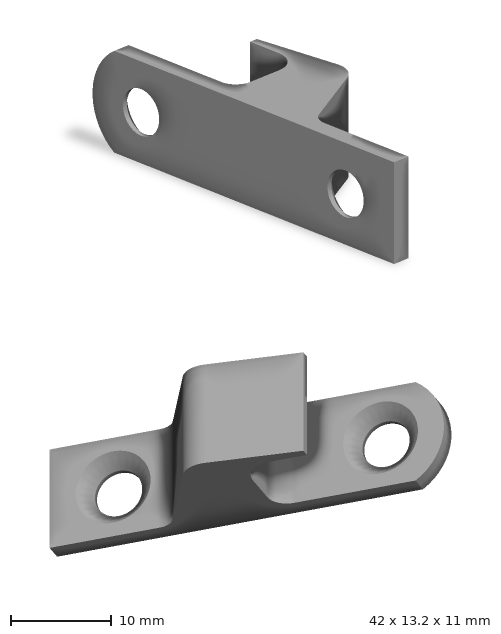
import cadquery as cq

length = 42.0
width = 11.0
plate_thickness = 2.0
end_radius = 6.5
hole_diameter = 5.05
hole_inset = 6.75
countersink_diameter = 8.0
countersink_angle = 90.0

tip_x = 11.0
tip_top_y = 12.0
tip_bottom_y = 11.05
throat_x = 17.98
throat_top_radius = 3.0
throat_root_radius = 2.0
crest_x = 23.05
crest_y = 13.45
crest_radius = 3.0
back_foot_x = 29.02
back_root_radius = 2.1


def make_plate():
    """Flat strip, rounded at one end, lying on the mounting face."""
    strip = cq.Workplane("XY").box(
        length, plate_thickness, width, centered=(False, False, True)
    )
    rounded_end = (
        cq.Workplane("XZ")
        .center(end_radius, 0)
        .circle(end_radius)
        .extrude(-plate_thickness)
    )
    square_end = cq.Workplane("XY").box(
        end_radius, plate_thickness, width, centered=(False, False, True)
    )
    return strip.cut(square_end.cut(rounded_end))


def make_hook():
    """Hook profile with a sharp outline, extruded over the full plate width."""
    outline = [
        (throat_x, plate_thickness),
        (throat_x, tip_bottom_y),
        (tip_x, tip_bottom_y),
        (tip_x, tip_top_y),
        (crest_x, crest_y),
        (back_foot_x, plate_thickness),
    ]
    return cq.Workplane("XY").polyline(outline).close().extrude(width / 2, both=True)


def round_edge(body, x, y, radius):
    """Fillet the cross-width edge that passes through (x, y)."""
    edge = cq.selectors.NearestToPointSelector((x, y, 0))
    return body.edges("|Z").edges(edge).fillet(radius)


body = make_plate().union(make_hook())
body = round_edge(body, throat_x, tip_bottom_y, throat_top_radius)
body = round_edge(body, throat_x, plate_thickness, throat_root_radius)
body = round_edge(body, crest_x, crest_y, crest_radius)
body = round_edge(body, back_foot_x, plate_thickness, back_root_radius)

result = (
    body.copyWorkplane(cq.Workplane("XZ", origin=(0, plate_thickness, 0)))
    .transformed(rotate=(180, 0, 0))
    .pushPoints([(hole_inset, 0), (length - hole_inset, 0)])
    .cskHole(hole_diameter, countersink_diameter, countersink_angle, depth=plate_thickness)
)